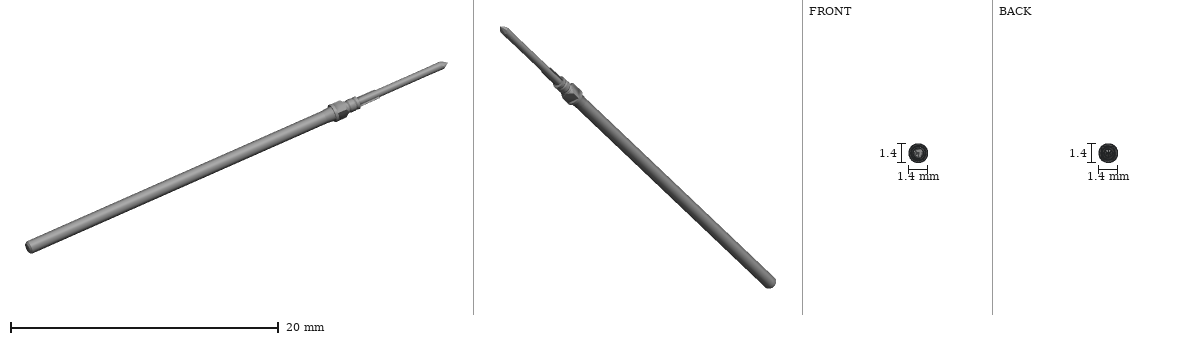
import cadquery as cq
import math


rod_radius = 0.30
head_radius = 0.31
head_length = 1.30
tip_sides = 8
tip_length_at_x = 0.42
tip_length_at_z = 0.65
tip_blank_length = 0.80
tip_end_radius = 0.01
rod_length = 7.72

fin_span = 0.86
fin_thickness = 0.05
fin_length = 1.70

barrel_radius = 0.50
collar_length = 1.03
groove_width = 0.22
groove_depth = 0.05
groove_offsets = (0.19, 0.76)
square_side = 1.00
square_length = 0.90
square_lead_length = 0.20
flange_radius = 0.70
flange_thickness = 0.22
taper_radius = 0.57
taper_length = 0.74
tail_face_radius = 0.39
tail_chamfer_length = 0.15
overall_length = 35.90

square_front = square_length
collar_front = square_front + collar_length
tip_end = collar_front + rod_length
tail_end = tip_end - overall_length


def cylinder(radius, y_start, y_end):
    """Round bar on the Y axis between two stations."""
    return cq.Workplane("XZ", origin=(0, y_end, 0)).circle(radius).extrude(y_end - y_start)


def turn(profile):
    """Solid of revolution about the Y axis from (radius, Y) points."""
    return cq.Workplane("XY").polyline(profile).close().revolve(360, (0, 0, 0), (0, 1, 0))


def make_barrel():
    """Solid tail, tapered shoulder and flange, turned about the Y axis."""
    taper_start = -flange_thickness
    taper_end = taper_start - taper_length
    profile = [
        (0, tail_end),
        (tail_face_radius, tail_end),
        (barrel_radius, tail_end + tail_chamfer_length),
        (barrel_radius, taper_end),
        (taper_radius, taper_start),
        (flange_radius, taper_start),
        (flange_radius, 0),
        (0, 0),
    ]
    return turn(profile)


def make_square():
    """Square seat whose corners are turned down to the flange and to a conical lead."""
    block = cq.Workplane("XY").box(square_side, square_length, square_side)
    block = block.translate((0, square_length / 2, 0))
    envelope = [
        (0, 0),
        (flange_radius, 0),
        (flange_radius, square_front - square_lead_length),
        (barrel_radius, square_front),
        (0, square_front),
    ]
    return block.intersect(turn(envelope))


def make_collar():
    """Round collar with shallow V-shaped ring grooves."""
    profile = [(0, collar_front), (barrel_radius, collar_front)]
    for offset in groove_offsets:
        groove_front = collar_front - offset
        profile.append((barrel_radius, groove_front))
        profile.append((barrel_radius - groove_depth, groove_front - groove_width / 2))
        profile.append((barrel_radius, groove_front - groove_width))
    profile += [(barrel_radius, square_front), (0, square_front)]
    return turn(profile)


def make_fins():
    """Thin plate through the rod that stands out on the +X and -X sides."""
    plate = cq.Workplane("XY").box(fin_span, fin_length, fin_thickness)
    return plate.translate((0, collar_front + fin_length / 2, 0))


def tip_section(radius_x, radius_z):
    """Corners of the faceted point's cross-section, with corners on the X and Z axes."""
    angles = [2 * math.pi * i / tip_sides for i in range(tip_sides)]
    return [(radius_x * math.cos(a), radius_z * math.sin(a)) for a in angles]


def make_tip():
    """Slightly thicker head ground to a faceted point that is blunter across X than across Z."""
    blank_back = tip_end - tip_blank_length
    base_x = head_radius * tip_blank_length / tip_length_at_x
    base_z = head_radius * tip_blank_length / tip_length_at_z
    tip_x = tip_end_radius * tip_length_at_z / tip_length_at_x
    point = (
        cq.Workplane("XZ", origin=(0, blank_back, 0))
        .polyline(tip_section(base_x, base_z))
        .close()
        .workplane(offset=-tip_blank_length)
        .polyline(tip_section(tip_x, tip_end_radius))
        .close()
        .loft(ruled=True)
    )
    shank = cylinder(head_radius, tip_end - head_length, blank_back)
    blank = cylinder(head_radius, blank_back, tip_end)
    return shank.union(point.intersect(blank))


rod = cylinder(rod_radius, collar_front, tip_end - head_length)
result = make_barrel()
for piece in (make_square(), make_collar(), rod, make_fins(), make_tip()):
    result = result.union(piece)